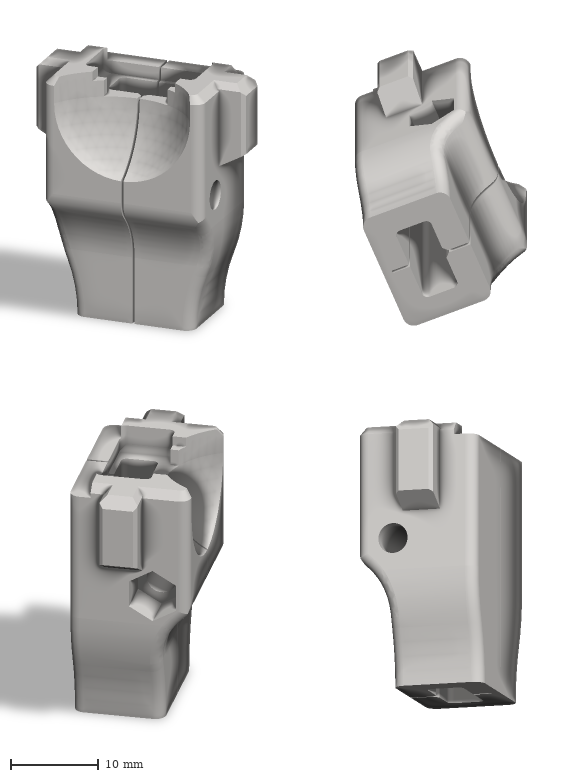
import cadquery as cq
import math


HEIGHT = 30.15
DEPTH = 14.2
HALF_WIDTH = 9.83
FOOT_HALF_WIDTH = 7.33
FOOT_DEPTH = 10.7
SIDE_TAPER_TOP = 13.18
FRONT_BEND_TOP = 15.95
FRONT_BEND_MIDDLE = 13.75
FRONT_BEND_BOTTOM = 8.1
CORNER_RADIUS = 1.27
TOP_CHAMFER = 0.95
FRONT_TOP_CHAMFER = 0.65

LEDGE_DEPTH = 2.62
LEDGE_HEIGHT = 28.6

CUP_RADIUS = 9.5
CUP_DEPTH = 5.1
FLOOR_HEIGHT = 27.05

POCKET_HALF_WIDTH = 6.78
POCKET_BACK = 2.5
POCKET_FRONT = 8.98
POCKET_RADIUS = 0.72
WINDOW_HALF_WIDTH = 3.95
WINDOW_STEP_HALF_WIDTH = 5.1
WINDOW_STEP_HEIGHT = 29.0

TAB_HALF_SPAN = 13.0
TAB_ROOT = POCKET_HALF_WIDTH
TAB_BACK = 4.28
TAB_FRONT = 8.75
TAB_OUTER_BOTTOM = 21.75
TAB_ROOT_BOTTOM = 20.0
TAB_CORNER_CHAMFER = 0.45
TAB_SIDE_CHAMFER = 0.75
TAB_END_CHAMFER = 1.27

CHANNEL_HALF_WIDTH = 4.52
CHANNEL_BACK = 3.2
CHANNEL_FRONT = 7.5
CHANNEL_RADIUS = 0.65

SLIT_WIDTH = 0.3
SLIT_CHAMFER = 0.5
BRIDGE_THICKNESS = 1.03
BRIDGE_HEIGHT = 3.0

SCREW_DEPTH = 9.92
SCREW_HEIGHT = 16.85
SCREW_DIAMETER = 3.5
NUT_ACROSS_FLATS = 5.52
NUT_POCKET_DEPTH = 4.82


def block(x_min, x_max, y_min, y_max, z_min, z_max):
    """Box given by its limits along each axis."""
    size = (x_max - x_min, y_max - y_min, z_max - z_min)
    return cq.Workplane("XY").box(*size, centered=False).translate((x_min, y_min, z_min))


def centred_block(half_width, front, back, z_min, z_max):
    """Box symmetric about X = 0, between two distances in front of the back face."""
    return block(-half_width, half_width, -front, -back, z_min, z_max)


def make_front_prism():
    """Outline across X and Z, tapering to the foot in an S-curve on each side."""
    side_middle_x = (HALF_WIDTH + FOOT_HALF_WIDTH) / 2
    side_middle_z = SIDE_TAPER_TOP / 2
    half = (
        cq.Workplane("XZ")
        .moveTo(0, HEIGHT)
        .lineTo(HALF_WIDTH, HEIGHT)
        .lineTo(HALF_WIDTH, SIDE_TAPER_TOP)
        .tangentArcPoint((side_middle_x, side_middle_z), relative=False)
        .tangentArcPoint((FOOT_HALF_WIDTH, 0), relative=False)
        .lineTo(0, 0)
        .close()
        .extrude(DEPTH)
    )
    return half.union(half.mirror("YZ"))


def make_side_prism(rounded_bend):
    """Outline along Y and Z, bending from the foot out to the front face, sharply or rounded."""
    bend_depth = DEPTH - FOOT_DEPTH
    bend_angle = 2 * math.atan(bend_depth / (FRONT_BEND_TOP - FRONT_BEND_BOTTOM))
    upper_radius = (FRONT_BEND_TOP - FRONT_BEND_MIDDLE) / math.sin(bend_angle)
    lower_radius = (FRONT_BEND_MIDDLE - FRONT_BEND_BOTTOM) / math.sin(bend_angle)
    middle_y = -FOOT_DEPTH - lower_radius * (1 - math.cos(bend_angle))
    sharp_z = FRONT_BEND_TOP - upper_radius * math.tan(bend_angle / 2)
    outline = (
        cq.Workplane("YZ")
        .moveTo(-FOOT_DEPTH, 0)
        .lineTo(-FOOT_DEPTH, FRONT_BEND_BOTTOM)
        .tangentArcPoint((middle_y, FRONT_BEND_MIDDLE), relative=False)
    )
    if rounded_bend:
        outline = outline.tangentArcPoint((-DEPTH, FRONT_BEND_TOP), relative=False)
    else:
        outline = outline.lineTo(-DEPTH, sharp_z)
    return (
        outline
        .lineTo(-DEPTH, HEIGHT)
        .lineTo(0, HEIGHT)
        .lineTo(0, 0)
        .close()
        .extrude(HALF_WIDTH, both=True)
    )


def draw_plan(workplane, half_width, depth, corner_radius):
    """Outline across X and Y, with square corners at the back and round ones at the front."""
    return (
        workplane
        .moveTo(-half_width, 0)
        .lineTo(half_width, 0)
        .lineTo(half_width, corner_radius - depth)
        .tangentArcPoint((half_width - corner_radius, -depth), relative=False)
        .lineTo(corner_radius - half_width, -depth)
        .tangentArcPoint((-half_width, corner_radius - depth), relative=False)
        .close()
    )


def make_roof():
    """Envelope that bevels the top along the sides and, less widely, along the front."""
    bevel_start = HEIGHT - TOP_CHAMFER
    top_half_width = HALF_WIDTH - TOP_CHAMFER
    top_depth = DEPTH - FRONT_TOP_CHAMFER
    top_radius = CORNER_RADIUS - FRONT_TOP_CHAMFER
    base = cq.Workplane("XY", origin=(0, 0, bevel_start))
    start = draw_plan(base, HALF_WIDTH, DEPTH, CORNER_RADIUS)
    outlines = draw_plan(start.workplane(offset=TOP_CHAMFER), top_half_width, top_depth, top_radius)
    return outlines.loft(ruled=True).union(centred_block(HALF_WIDTH, DEPTH, 0, 0, bevel_start))


def make_body():
    """The two outlines crossed, with rounded upright corners and a bevelled top."""
    sharp = make_front_prism().intersect(make_side_prism(rounded_bend=False))
    rounded = sharp.edges("not(#Z)").fillet(CORNER_RADIUS)
    return rounded.intersect(make_side_prism(rounded_bend=True)).intersect(make_roof())


def make_tab():
    """Tab on the +X side, sloped underneath and chamfered at its outer end and top."""
    width = TAB_FRONT - TAB_BACK
    tab = (
        cq.Workplane("XZ", origin=(0, -TAB_BACK, 0))
        .moveTo(TAB_ROOT, HEIGHT)
        .lineTo(TAB_HALF_SPAN, HEIGHT)
        .lineTo(TAB_HALF_SPAN, TAB_OUTER_BOTTOM)
        .lineTo(HALF_WIDTH, TAB_ROOT_BOTTOM)
        .lineTo(TAB_ROOT, TAB_ROOT_BOTTOM)
        .close()
        .extrude(width)
        .edges("|Z and >X")
        .chamfer(TAB_CORNER_CHAMFER)
    )
    end_roof = (
        cq.Workplane("XZ", origin=(0, -TAB_BACK, 0))
        .moveTo(0, HEIGHT)
        .lineTo(TAB_HALF_SPAN - TAB_END_CHAMFER, HEIGHT)
        .lineTo(TAB_HALF_SPAN, HEIGHT - TAB_END_CHAMFER)
        .lineTo(TAB_HALF_SPAN, 0)
        .lineTo(0, 0)
        .close()
        .extrude(width)
    )
    side_roof = (
        centred_block(TAB_HALF_SPAN, TAB_FRONT, TAB_BACK, 0, HEIGHT)
        .edges("|X and >Z")
        .chamfer(TAB_SIDE_CHAMFER)
    )
    return tab.intersect(end_roof).intersect(side_roof)


def make_cup():
    """Ball-shaped hollow up to the pocket floor, continued upward as a round shaft."""
    centre = (0, -DEPTH + CUP_DEPTH - CUP_RADIUS, FLOOR_HEIGHT)
    ball = cq.Workplane("XY").sphere(CUP_RADIUS).translate(centre)
    shaft = cq.Workplane("XY").circle(CUP_RADIUS).extrude(HEIGHT - FLOOR_HEIGHT).translate(centre)
    return ball.union(shaft)


def make_pocket():
    """Top pocket with coved ends, and the two-step window that opens it into the cup."""
    pocket = (
        centred_block(POCKET_HALF_WIDTH, POCKET_FRONT, POCKET_BACK, FLOOR_HEIGHT, HEIGHT)
        .edges("|Z or (|Y and <Z)")
        .fillet(POCKET_RADIUS)
    )
    window = centred_block(WINDOW_HALF_WIDTH, DEPTH, CHANNEL_FRONT, FLOOR_HEIGHT, HEIGHT)
    step = centred_block(WINDOW_STEP_HALF_WIDTH, DEPTH, CHANNEL_FRONT, WINDOW_STEP_HEIGHT, HEIGHT)
    return pocket.union(window).union(step)


def make_channel():
    """Through channel with rounded corners, flared where the slit leaves its front wall."""
    channel = (
        centred_block(CHANNEL_HALF_WIDTH, CHANNEL_FRONT, CHANNEL_BACK, 0, HEIGHT)
        .edges("|Z")
        .fillet(CHANNEL_RADIUS)
    )
    flare_half_width = SLIT_WIDTH / 2 + SLIT_CHAMFER
    flare = (
        cq.Workplane("XY")
        .moveTo(-flare_half_width, -CHANNEL_FRONT)
        .lineTo(flare_half_width, -CHANNEL_FRONT)
        .lineTo(SLIT_WIDTH / 2, -CHANNEL_FRONT - SLIT_CHAMFER)
        .lineTo(-SLIT_WIDTH / 2, -CHANNEL_FRONT - SLIT_CHAMFER)
        .close()
        .extrude(HEIGHT)
    )
    return channel.union(flare)


def make_slit():
    """Full slit between the halves, less the bridges at the bottom and at the pocket floor."""
    slit = centred_block(SLIT_WIDTH / 2, DEPTH, 0, 0, HEIGHT)
    for bridge_bottom in (0, FLOOR_HEIGHT - BRIDGE_HEIGHT):
        bridge_top = bridge_bottom + BRIDGE_HEIGHT
        slit = slit.cut(centred_block(SLIT_WIDTH / 2, BRIDGE_THICKNESS, 0, bridge_bottom, bridge_top))
    return slit


def make_screw_hole():
    """Cross hole along X, with a nut pocket in the -X side that has a corner pointing up."""
    side = cq.Workplane("YZ", origin=(-HALF_WIDTH, -SCREW_DEPTH, SCREW_HEIGHT))
    hole = side.circle(SCREW_DIAMETER / 2).extrude(2 * HALF_WIDTH)
    across_corners = NUT_ACROSS_FLATS / math.cos(math.pi / 6)
    nut = side.transformed(rotate=(0, 0, 90)).polygon(6, across_corners).extrude(NUT_POCKET_DEPTH)
    return hole.union(nut)


ledge = centred_block(HALF_WIDTH, LEDGE_DEPTH, 0, LEDGE_HEIGHT, HEIGHT)
right_tab = make_tab()
left_tab = right_tab.mirror("YZ")

result = make_body().union(right_tab).union(left_tab)
hollows = (ledge, make_cup(), make_pocket(), make_channel(), make_slit(), make_screw_hole())
for hollow in hollows:
    result = result.cut(hollow)